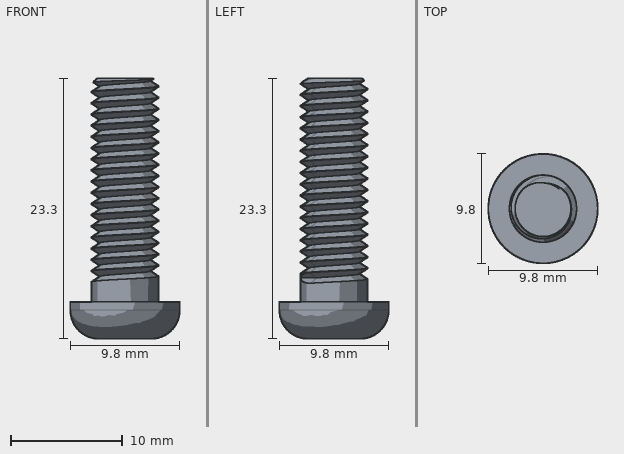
import cadquery as cq
import math

total_length = 23.3
head_height = 3.3
head_radius = 9.8 / 2
head_band_height = 0.7
dome_flat_radius = 2.33
thread_radius = 6.0 / 2
shank_length = total_length - head_height

pitch = shank_length / 20
root_radius = 2.28
crest_flat = 0.05
groove_clearance = 0.02
groove_start_height = head_height + 2.15
groove_start_angle = 135.0
turn_count = math.ceil((total_length - groove_start_height) / pitch)

tip_radius = 2.5
tip_chamfer = thread_radius - tip_radius


def make_blank():
    """Revolve the domed head and the chamfered plain shank as one body."""
    dome_height = head_height - head_band_height
    dome_width = head_radius - dome_flat_radius
    dome_middle = (
        dome_flat_radius + dome_width * math.sin(math.radians(45)),
        dome_height * (1 - math.cos(math.radians(45))),
    )
    return (
        cq.Workplane("XZ")
        .lineTo(dome_flat_radius, 0)
        .threePointArc(dome_middle, (head_radius, dome_height))
        .lineTo(head_radius, head_height)
        .lineTo(thread_radius, head_height)
        .lineTo(thread_radius, total_length - tip_chamfer)
        .lineTo(tip_radius, total_length)
        .lineTo(0, total_length)
        .close()
        .revolve(360, (0, 0, 0), (0, 1, 0))
    )


def groove_profile():
    """V section with its point at the root, reaching just outside the crest."""
    flank_slope = (pitch - crest_flat) / 2 / (thread_radius - root_radius)
    outer_radius = thread_radius + groove_clearance
    half_width = flank_slope * (outer_radius - root_radius)
    return cq.Workplane("XZ").polyline(
        [(root_radius, 0), (outer_radius, -half_width), (outer_radius, half_width)]
    ).close()


def place_groove(cutter):
    """Move a cutter from the XZ plane to the start of the thread."""
    return cutter.rotate((0, 0, 0), (0, 0, 1), groove_start_angle).translate((0, 0, groove_start_height))


def make_groove_turn():
    """Sweep the V section through the first full turn of the helix."""
    path = cq.Wire.makeHelix(pitch, pitch, root_radius)
    return place_groove(groove_profile().sweep(cq.Workplane(path), isFrenet=True))


def cut_thread(blank):
    """Cut the groove turn by turn, from the plain neck out past the tip."""
    threaded = blank
    turn = make_groove_turn()
    for index in range(turn_count):
        threaded = threaded.cut(turn.translate((0, 0, index * pitch)))
    return threaded


def make_groove_runout():
    """Continue the V section straight along the tangent until it leaves the shank."""
    return place_groove(groove_profile().extrude(thread_radius))


result = cut_thread(make_blank()).cut(make_groove_runout())